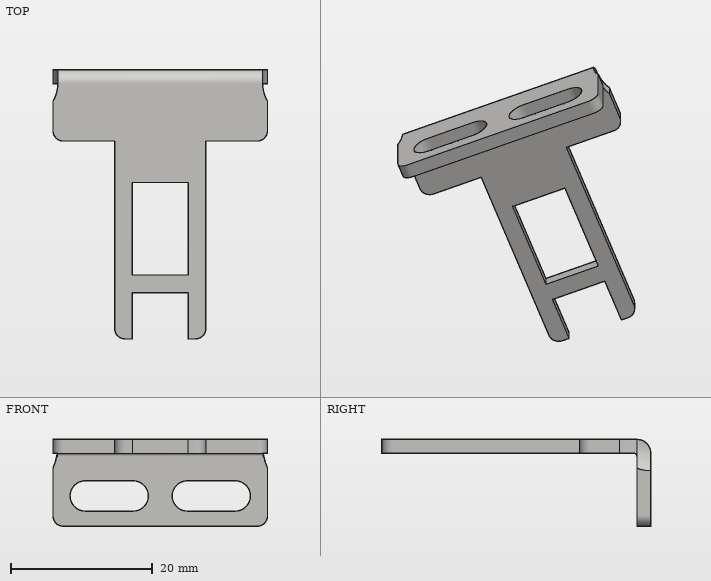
import cadquery as cq
import math

WIDTH = 30.3
LENGTH = 38.0
HEIGHT = 12.3
THICKNESS = 2.0
CORNER_RADIUS = 1.5

BEND_OUTER_RADIUS = 2.0
BEND_INNER_RADIUS = 0.4

FLANGE_DEPTH = 10.1
TONGUE_WIDTH = 12.9
WINDOW_WIDTH = 7.9
WINDOW_START = 15.95
WINDOW_LENGTH = 13.0
FORK_LENGTH = 6.5

SLOT_LENGTH = 11.0
SLOT_HEIGHT = 4.25
SLOT_PITCH = 14.4
SLOT_DEPTH = 8.0

NOTCH_END = 4.45
FLANGE_NOTCH_INSET = 0.68
FLANGE_NOTCH_RUN = NOTCH_END - BEND_OUTER_RADIUS
WEB_NOTCH_INSET = 0.75
WEB_NOTCH_TOP = 1.0
WEB_NOTCH_RUN = NOTCH_END - WEB_NOTCH_TOP
WEB_NOTCH_RISE = 0.36
WEB_NOTCH_SWEEP_RADIUS = (THICKNESS**2 + WEB_NOTCH_RISE**2) / (2 * WEB_NOTCH_RISE)

CLEARANCE = 1.0


def block(x_size, y_min, y_max, z_min, z_max):
    """Box centred on X = 0 spanning the given Y and Z ranges."""
    return cq.Workplane("XY").box(
        x_size, y_max - y_min, z_max - z_min, centered=(True, False, False)
    ).translate((0, y_min, z_min))


def make_angle():
    """Web and flange joined by the rounded bend."""
    flange = block(WIDTH, -FLANGE_DEPTH, 0, -THICKNESS, 0)
    flange = flange.edges("|Z and <Y").fillet(CORNER_RADIUS)
    web = block(WIDTH, -THICKNESS, 0, -HEIGHT, 0)
    web = web.edges("|Y and <Z").fillet(CORNER_RADIUS)
    angle = flange.union(web)
    angle = angle.edges("|X and >Y and >Z").fillet(BEND_OUTER_RADIUS)
    inner_corner = cq.selectors.NearestToPointSelector((0, -THICKNESS, -THICKNESS))
    return angle.edges("|X").edges(inner_corner).fillet(BEND_INNER_RADIUS)


def make_tongue():
    """Forked tongue with a rectangular window."""
    tongue = block(TONGUE_WIDTH, -LENGTH, -FLANGE_DEPTH + CLEARANCE, -THICKNESS, 0)
    return tongue.edges("|Z and <Y").fillet(CORNER_RADIUS)


def cut_tongue_openings(body):
    """Cut the window and the open fork gap through the tongue."""
    window_end = WINDOW_START + WINDOW_LENGTH
    fork_start = LENGTH - FORK_LENGTH
    for start, end in ((WINDOW_START, window_end), (fork_start, LENGTH + CLEARANCE)):
        body = body.cut(block(WINDOW_WIDTH, -end, -start, -THICKNESS - CLEARANCE, CLEARANCE))
    return body


def cut_mounting_slots(body):
    """Cut the two round-ended slots through the web."""
    slots = (
        cq.Workplane("XZ")
        .pushPoints([(-SLOT_PITCH / 2, -SLOT_DEPTH), (SLOT_PITCH / 2, -SLOT_DEPTH)])
        .slot2D(SLOT_LENGTH, SLOT_HEIGHT)
        .extrude(THICKNESS + CLEARANCE)
        .translate((0, CLEARANCE / 2, 0))
    )
    return body.cut(slots)


def notch_profile(plane, deepest, inset, run, back_run):
    """Right-hand notch section bounded by one arc.

    The arc reaches its full inset at the second coordinate `deepest`, runs out to
    the side over `run` towards lower values and continues by `back_run` the other way.
    """
    side = WIDTH / 2
    outside = side + CLEARANCE
    bottom = side - inset
    radius = (run**2 + inset**2) / (2 * inset)
    back_x = bottom + radius - math.sqrt(radius**2 - back_run**2)
    return (
        cq.Workplane(plane)
        .moveTo(back_x, deepest + back_run)
        .threePointArc((bottom, deepest), (side, deepest - run))
        .lineTo(outside, deepest - run)
        .lineTo(outside, deepest + back_run)
        .close()
    )


def make_flange_notch():
    """Straight-through notch in the flange, up to the inner face of the web."""
    depth = THICKNESS + BEND_INNER_RADIUS
    profile = notch_profile("XY", -BEND_OUTER_RADIUS, FLANGE_NOTCH_INSET, FLANGE_NOTCH_RUN, CLEARANCE)
    return profile.extrude(-depth).intersect(block(2 * WIDTH, -LENGTH, -THICKNESS, -depth, 0))


def make_web_notch():
    """Notch in the bend and the web.

    It is swept around an X-parallel axis in the plane of the outer face, so its
    lower edge curves upward towards the inner face.
    """
    axis_height = WEB_NOTCH_SWEEP_RADIUS - NOTCH_END
    deepest = -WEB_NOTCH_TOP - axis_height
    half_turn = 180
    return (
        notch_profile("XZ", deepest, WEB_NOTCH_INSET, WEB_NOTCH_RUN, WEB_NOTCH_TOP)
        .revolve(half_turn, (0, 0), (-1, 0))
        .translate((0, 0, axis_height))
        .intersect(block(2 * WIDTH, -THICKNESS, CLEARANCE, -HEIGHT, 0))
    )


def cut_bend_notches(body):
    """Narrow both ends of the bend with notches in the flange and in the web."""
    for notch in (make_flange_notch(), make_web_notch()):
        body = body.cut(notch).cut(notch.mirror("YZ"))
    return body


body = make_angle().union(make_tongue())
body = cut_tongue_openings(body)
body = cut_mounting_slots(body)
result = cut_bend_notches(body)